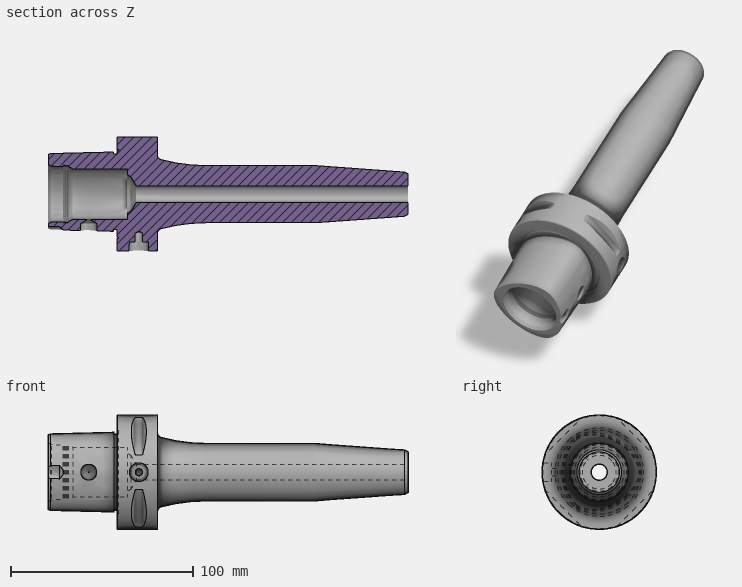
import cadquery as cq
import math

total_length = 198.0
flange_front = 37.8
flange_back = 60.2
neck_end = 86.7
nose_start = 146.7

flange_radius = 31.5
flange_bevel = 0.4
body_radius = 15.8
nose_radius = 12.3
nose_bevel_length = 2.2
nose_bevel_height = 1.2
neck_curve_radius = 95.0
neck_fillet = 2.5

shank_radius = 22.0
shank_eccentricity = 1.4
shank_slope = 1 / 40
shank_bevel_length = 1.4
shank_bevel_height = 0.5
shank_end = 36.2
undercut_depth = 1.0
lobe_count = 3
lobe_spacing = 360 / lobe_count
lobe_half_angle = 27.0
points_per_face = 9

ring_outer_radius = 24.4
ring_inner_radius = 23.0
ring_depth = 1.0

mouth_radius = 16.2
entry_radius = 15.2
mouth_bevel_length = 1.8
throat_radius = 15.0
thread_start = 8.3
thread_pitch = 1.0
thread_count = 3
thread_depth = 0.8
land_length = 2.4
chamber_radius = 13.7
chamber_end = 43.5
seat_radius = 10.5
seat_bevel_length = 2.0
seat_bevel_height = 1.2
through_radius = 4.4

slot_x = 49.9
slot_floor_radius = 28.0
slot_floor_width = 4.0
slot_wall_run = 2.2
slot_fillet = 0.8
slot_count = 4
slot_first_angle = 45.0

drill_point_angle = 118.0
cross_hole_x = 22.4
cross_hole_radius = 4.4
cross_hole_floor = 16.2
rim_hole_radius = 5.1
rim_hole_depth = 5.1
rim_pilot_radius = 2.0
rim_pilot_depth = 9.9
notch_point_angle = 80.0
notch_radius = 5.0
notch_floor = 18.0
notch_length = 6.3


def revolve_about_x(outline):
    """Turn a closed (x, radius) outline around the X axis."""
    return outline.close().revolve(360, (0, 0, 0), (1, 0, 0))


def make_body():
    """Flange, curved neck, cylinder and tapered nose."""
    flange = revolve_about_x(
        cq.Workplane("XY")
        .moveTo(flange_front, 0)
        .lineTo(flange_front, flange_radius - flange_bevel)
        .lineTo(flange_front + flange_bevel, flange_radius)
        .lineTo(flange_back, flange_radius)
        .lineTo(flange_back, 0)
    )

    def neck_radius(x):
        centre = body_radius + neck_curve_radius
        return centre - math.sqrt(neck_curve_radius**2 - (neck_end - x) ** 2)

    neck_middle = (flange_back + neck_end) / 2
    tool_body = revolve_about_x(
        cq.Workplane("XY")
        .moveTo(flange_back, 0)
        .lineTo(flange_back, neck_radius(flange_back))
        .threePointArc((neck_middle, neck_radius(neck_middle)), (neck_end, body_radius))
        .lineTo(nose_start, body_radius)
        .lineTo(total_length - nose_bevel_length, nose_radius)
        .lineTo(total_length, nose_radius - nose_bevel_height)
        .lineTo(total_length, 0)
    )
    body = flange.union(tool_body)
    margin = neck_fillet
    reach = neck_radius(flange_back) + margin
    root_edge = cq.selectors.BoxSelector(
        (flange_back - margin, -reach, -reach),
        (flange_back + margin, reach, reach),
        boundingbox=True,
    )
    return body.edges(root_edge).fillet(neck_fillet)


def polygon_wire(x, mean_radius):
    """Three-lobed outline at station x, split into lobe faces and flat faces."""

    def point(angle):
        y = (
            mean_radius * math.cos(angle)
            + 2 * shank_eccentricity * math.cos(2 * angle)
            - shank_eccentricity * math.cos(4 * angle)
        )
        z = (
            mean_radius * math.sin(angle)
            - 2 * shank_eccentricity * math.sin(2 * angle)
            - shank_eccentricity * math.sin(4 * angle)
        )
        return cq.Vector(x, y, z)

    def tangent(angle):
        return cq.Vector(0, -math.sin(angle), math.cos(angle))

    edges = []
    for lobe in range(lobe_count):
        lobe_angle = lobe * lobe_spacing
        face_limits = (
            (lobe_angle - lobe_half_angle, lobe_angle + lobe_half_angle),
            (lobe_angle + lobe_half_angle, lobe_angle + lobe_spacing - lobe_half_angle),
        )
        for start, end in face_limits:
            step = (end - start) / (points_per_face - 1)
            angles = [math.radians(start + i * step) for i in range(points_per_face)]
            points = [point(angle) for angle in angles]
            edges.append(cq.Edge.makeSpline(points, tangents=[tangent(angles[0]), tangent(angles[-1])]))
    return cq.Wire.assembleEdges(edges)


def make_shank():
    """Tapered polygon shank with a bevelled end and an undercut at the flange."""

    def taper_radius(x):
        return shank_radius - (flange_front - x) * shank_slope

    def section(start, start_radius, end, end_radius):
        wires = [polygon_wire(start, start_radius), polygon_wire(end, end_radius)]
        return cq.Workplane(cq.Solid.makeLoft(wires, True))

    bevel_radius = taper_radius(shank_bevel_length)
    end_radius = taper_radius(shank_end)
    undercut_radius = end_radius - undercut_depth
    bevel = section(0, bevel_radius - shank_bevel_height, shank_bevel_length, bevel_radius)
    taper = section(shank_bevel_length, bevel_radius, shank_end, end_radius)
    undercut = section(shank_end, undercut_radius, flange_front, undercut_radius)
    return bevel.union(taper).union(undercut)


def make_ring_groove():
    """Groove in the flange face with a straight outer wall and a sloping floor."""
    return revolve_about_x(
        cq.Workplane("XY")
        .moveTo(flange_front, ring_inner_radius)
        .lineTo(flange_front, ring_outer_radius)
        .lineTo(flange_front + ring_depth, ring_outer_radius)
    )


def cone_height(radius, point_angle):
    """Axial height of a cone with the given base radius and full point angle."""
    return radius / math.tan(math.radians(point_angle / 2))


def make_bore():
    """Tapered entry with fine V-grooves, chamber, conical seat and through hole."""
    seat_end = chamber_end + seat_bevel_length
    cone_radius = seat_radius - seat_bevel_height
    cone_end = seat_end + cone_height(cone_radius - through_radius, drill_point_angle)
    outline = (
        cq.Workplane("XY")
        .moveTo(0, 0)
        .lineTo(0, mouth_radius)
        .lineTo(mouth_bevel_length, entry_radius)
        .lineTo(thread_start, throat_radius)
    )
    for i in range(thread_count):
        start = thread_start + i * thread_pitch
        outline = outline.lineTo(start + thread_pitch / 2, throat_radius + thread_depth)
        outline = outline.lineTo(start + thread_pitch, throat_radius)
    land_end = thread_start + thread_count * thread_pitch + land_length
    return revolve_about_x(
        outline.lineTo(land_end, chamber_radius)
        .lineTo(chamber_end, chamber_radius)
        .lineTo(chamber_end, seat_radius)
        .lineTo(seat_end, cone_radius)
        .lineTo(cone_end, through_radius)
        .lineTo(total_length, through_radius)
        .lineTo(total_length, 0)
    )


def make_slots():
    """Trapezoidal gripper slots spaced evenly round the flange rim."""
    rise = 2 * (flange_radius - slot_floor_radius)
    slope = slot_wall_run / (flange_radius - slot_floor_radius)
    floor_half = slot_floor_width / 2
    top_half = floor_half + rise * slope
    slot = (
        cq.Workplane("XY")
        .polyline(
            [
                (slot_x - floor_half, slot_floor_radius),
                (slot_x + floor_half, slot_floor_radius),
                (slot_x + top_half, slot_floor_radius + rise),
                (slot_x - top_half, slot_floor_radius + rise),
            ]
        )
        .close()
        .extrude(flange_radius, both=True)
        .faces("<Y")
        .edges("|Z")
        .fillet(slot_fillet)
    )
    slots = cq.Workplane()
    for i in range(slot_count):
        angle = slot_first_angle + i * 360 / slot_count
        slots = slots.add(slot.rotate((0, 0, 0), (1, 0, 0), angle))
    return slots.combine()


def drill(start, direction, radius, depth, point_angle=drill_point_angle):
    """Blind drilled hole with a conical point beyond its depth."""
    start = cq.Vector(*start)
    direction = cq.Vector(*direction)
    barrel = cq.Solid.makeCylinder(radius, depth, start, direction)
    tip_height = cone_height(radius, point_angle)
    point = cq.Solid.makeCone(radius, 0, tip_height, start + direction * depth, direction)
    return cq.Workplane(barrel).union(cq.Workplane(point))


def make_side_holes():
    """Cross hole, rim hole with its pilot, and end notch, all on the -Y side."""
    inward = (0, 1, 0)
    cross_start = (cross_hole_x, -flange_radius, 0)
    cross_hole = drill(cross_start, inward, cross_hole_radius, flange_radius - cross_hole_floor)
    rim_start = (slot_x, -flange_radius, 0)
    rim_hole = cq.Workplane(
        cq.Solid.makeCylinder(rim_hole_radius, rim_hole_depth, cq.Vector(*rim_start), cq.Vector(*inward))
    )
    rim_pilot = drill(rim_start, inward, rim_pilot_radius, rim_pilot_depth)
    notch_start = (0, -notch_floor - notch_radius, 0)
    notch = drill(notch_start, (1, 0, 0), notch_radius, notch_length, notch_point_angle)
    return [cross_hole, rim_hole, rim_pilot, notch]


result = make_body().cut(make_ring_groove()).union(make_shank())
result = result.cut(make_bore()).cut(make_slots())
for hole in make_side_holes():
    result = result.cut(hole)